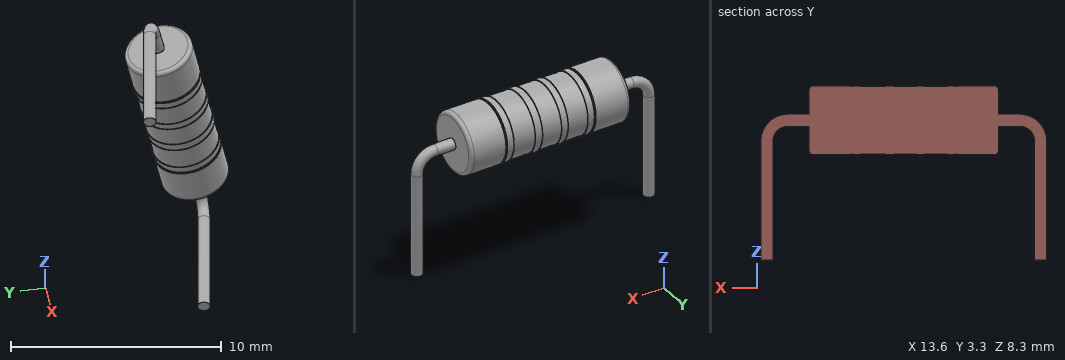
import cadquery as cq

body_length = 9.0
body_radius = 1.65
waist_radius = 1.61
cap_length = 1.98
cap_edge_fillet = 0.2

ring_width = 0.37
wide_ring_width = 0.41
outer_ring_x = 2.255
rings = [
    (-outer_ring_x, ring_width),
    (-0.78, ring_width),
    (0.675, wide_ring_width),
    (outer_ring_x, ring_width),
]

wire_diameter = 0.6
lead_pitch = 13.0
bend_radius = 1.0
lead_tip_z = -5.0

axis_z = body_radius


def disc(center_x, length, radius):
    """Cylinder on the body axis, centred at center_x."""
    return (
        cq.Workplane("YZ", origin=(center_x - length / 2, 0, axis_z))
        .circle(radius)
        .extrude(length)
    )


def end_cap(side):
    """Full-diameter cap with a rounded outer edge; side is -1 or +1."""
    center_x = side * (body_length - cap_length) / 2
    outer_face = ">X" if side > 0 else "<X"
    return disc(center_x, cap_length, body_radius).faces(outer_face).edges().fillet(cap_edge_fillet)


def make_body():
    waist_length = body_length - 2 * cap_length
    body = disc(0, waist_length, waist_radius)
    for center_x, width in rings:
        body = body.union(disc(center_x, width, body_radius))
    for side in (-1, 1):
        body = body.union(end_cap(side))
    return body


def make_lead(side):
    """Bent wire from the body's end face to the lead tip; side is -1 or +1."""
    lead_x = side * lead_pitch / 2
    face_x = side * body_length / 2
    bend_start_x = lead_x - side * bend_radius
    bend_end_z = axis_z - bend_radius
    path = (
        cq.Workplane("XZ")
        .moveTo(face_x, axis_z)
        .lineTo(bend_start_x, axis_z)
        .tangentArcPoint((lead_x, bend_end_z), relative=False)
        .lineTo(lead_x, lead_tip_z)
    )
    profile = cq.Workplane("YZ", origin=(face_x, 0, axis_z)).circle(wire_diameter / 2)
    return profile.sweep(path)


result = make_body().union(make_lead(-1)).union(make_lead(1))